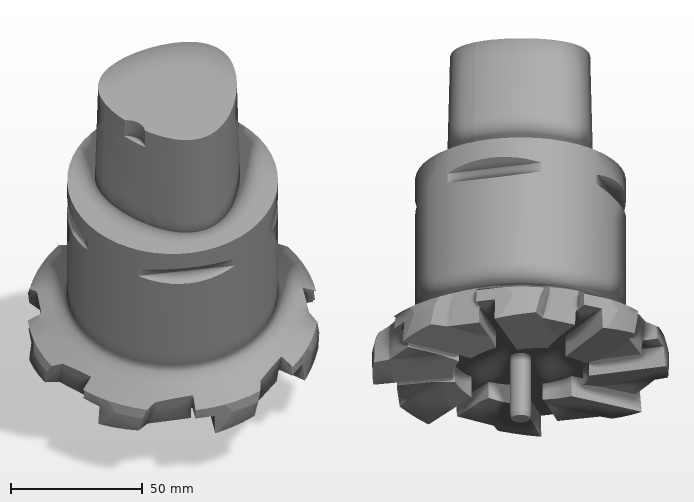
import cadquery as cq
import math

total_height = 147.0
shank_length = 48.0
body_top = total_height - shank_length
groove_height = 87.0
cone_foot = 38.5
shoulder_height = 30.3
rim_height = 26.3
seat_height = 25.5
land_height = 19.5
tip_height = 17.0

body_radius = 80.0 / 2
shoulder_radius = 55.3
rim_radius = 56.3
foot_radius = 56.2
bore_radius = 52.0 / 2
cone_fillet = 2.5

shank_radius = 27.5
lobe_count = 3
lobe_height = 2.0
lobe_half_angle = 26.0
spline_spans = 8
shank_taper = 1 / 40

keyway_radius = 6.6
keyway_centre = 28.7
keyway_depth = 8.4

groove_angles = [45, 135, 225, 315]
groove_distance = 35.5
groove_floor = 3.7
groove_mouth = 8.4

tooth_angles = [0.0, 47.0, 93.5, 138.2, 182.2, 225.0, 269.0, 314.2]
wall_x = -1.5
seat_wall_x = -2.0
rake_x = 6.0
wedge_length = 16.2
pocket_floor_y = -49.7
pocket_floor_end = -14.7
pocket_lean = 0.2
floor_lean = 0.12
runout_x = 2.1
runout_y = 1.6
flat_top_y = -54.4
flat_tip_y = -55.7
flat_width = 20.6
cutter_reach = 66.2

pin_radius = 8.0 / 2
pin_chamfer = 0.5
pin_chamfer_height = 1.6


def around(shape, angles):
    """Join copies of a shape turned about Z by each angle."""
    copies = cq.Workplane("XY")
    for angle in angles:
        copies = copies.add(shape.rotate((0, 0, 0), (0, 0, 1), angle))
    return copies.combine()


def lobed_point(angle, radius, height):
    """Point of the three-lobed outline; angle 0 is the middle of the lobe towards +Y."""
    x = radius * math.sin(angle) - lobe_height * math.sin(2 * angle)
    y = radius * math.cos(angle) + lobe_height * math.cos(2 * angle)
    return cq.Vector(x, y, height)


def lobed_wire(height, radius):
    """Closed outline of three round lobes alternating with three flatter sides."""
    half_lobe = math.radians(lobe_half_angle)
    third = 2 * math.pi / lobe_count
    edges = []
    for lobe in range(lobe_count):
        lobe_start = lobe * third - half_lobe
        lobe_end = lobe * third + half_lobe
        side_end = lobe_start + third
        for start, end in [(lobe_start, lobe_end), (lobe_end, side_end)]:
            step = (end - start) / spline_spans
            points = [lobed_point(start + step * i, radius, height) for i in range(spline_spans + 1)]
            edges.append(cq.Edge.makeSpline(points))
    return cq.Wire.assembleEdges(edges)


def make_shank():
    end_radius = shank_radius - shank_length * shank_taper
    wires = [lobed_wire(body_top, shank_radius), lobed_wire(total_height, end_radius)]
    shank = cq.Workplane(cq.Solid.makeLoft(wires, True))
    keyway = (
        cq.Workplane("XY", origin=(0, -keyway_centre, total_height - keyway_depth))
        .circle(keyway_radius)
        .extrude(keyway_depth)
    )
    return shank.cut(keyway)


def make_blank():
    """Turned body with the conical head and the bore under it."""
    slope_angle = math.atan((cone_foot - shoulder_height) / (shoulder_radius - body_radius))
    turn = math.pi / 2 - slope_angle
    tangent = cone_fillet * math.tan(turn / 2)
    fillet_end = (
        body_radius + tangent * math.cos(slope_angle),
        cone_foot - tangent * math.sin(slope_angle),
    )
    return (
        cq.Workplane("XZ")
        .moveTo(0, seat_height)
        .lineTo(0, body_top)
        .lineTo(body_radius, body_top)
        .lineTo(body_radius, cone_foot + tangent)
        .radiusArc(fillet_end, -cone_fillet)
        .lineTo(shoulder_radius, shoulder_height)
        .lineTo(rim_radius, rim_height)
        .lineTo(foot_radius, tip_height)
        .lineTo(bore_radius, tip_height)
        .lineTo(bore_radius, seat_height)
        .close()
        .revolve(360, (0, 0, 0), (0, 1, 0))
    )


def make_grooves():
    half_floor = groove_floor / 2
    flare = (groove_mouth - groove_floor) / 2
    half_mouth = half_floor + flare
    section = [
        (groove_distance, groove_height - half_floor),
        (body_radius, groove_height - half_mouth),
        (body_radius, groove_height + half_mouth),
        (groove_distance, groove_height + half_floor),
    ]
    groove = cq.Workplane("XZ").polyline(section).close().extrude(body_radius, both=True)
    return around(groove, groove_angles)


def make_land_relief():
    """Material below the land, except for the wedge behind every cutting edge."""
    relief_depth = land_height - tip_height
    land = cq.Workplane("XY", origin=(0, 0, tip_height)).circle(cutter_reach).extrude(relief_depth)
    wedge_end = rake_x + wedge_length
    wedge = (
        cq.Workplane("XZ")
        .polyline([(rake_x, tip_height), (wedge_end, land_height), (rake_x, land_height)])
        .close()
        .extrude(cutter_reach)
    )
    return land.cut(around(wedge, tooth_angles))


def pocket_wire(height, floor_end):
    """Pocket outline at a height; going down it grows longer and deeper."""
    drop = shoulder_height - height
    end_x = floor_end - pocket_lean * drop
    floor_y = pocket_floor_y + floor_lean * drop
    depth = cutter_reach + floor_y
    outer_x = end_x - depth * runout_x / runout_y
    corners = [
        (wall_x, -cutter_reach, height),
        (wall_x, floor_y, height),
        (end_x, floor_y, height),
        (outer_x, -cutter_reach, height),
    ]
    return cq.Wire.makePolygon([cq.Vector(*corner) for corner in corners], close=True)


def make_pockets():
    """Chip pockets; the pitch sets their length because all the teeth are equally long."""
    even_pitch = 360 / len(tooth_angles)
    pockets = cq.Workplane("XY")
    for i, angle in enumerate(tooth_angles):
        pitch = (angle - tooth_angles[i - 1]) % 360
        floor_end = pocket_floor_end - math.radians(pitch - even_pitch) * shoulder_radius
        outlines = [pocket_wire(0, floor_end), pocket_wire(cone_foot, floor_end)]
        pockets = pockets.add(cq.Solid.makeLoft(outlines, True).rotate((0, 0, 0), (0, 0, 1), angle))
    return pockets.combine()


def make_seats_and_flats():
    """Insert seat under the pocket and leaning flat in front of every cutting edge."""
    seat = cq.Workplane("XY").box(rake_x - seat_wall_x, cutter_reach, seat_height, centered=False)
    seat = seat.translate((seat_wall_x, -cutter_reach, 0))
    flat = (
        cq.Workplane("YZ", origin=(wall_x, 0, 0))
        .polyline([
            (flat_tip_y, tip_height),
            (flat_top_y, shoulder_height),
            (-cutter_reach, shoulder_height),
            (-cutter_reach, tip_height),
        ])
        .close()
        .extrude(flat_width)
    )
    return around(seat.union(flat), tooth_angles)


def make_pin():
    tip_radius = pin_radius - pin_chamfer
    return (
        cq.Workplane("XZ")
        .polyline([
            (0, 0),
            (tip_radius, 0),
            (pin_radius, pin_chamfer_height),
            (pin_radius, seat_height),
            (0, seat_height),
        ])
        .close()
        .revolve(360, (0, 0, 0), (0, 1, 0))
    )


body = make_blank().cut(make_land_relief())
body = body.cut(make_pockets()).cut(make_seats_and_flats())
body = body.cut(make_grooves())
result = body.union(make_shank()).union(make_pin())